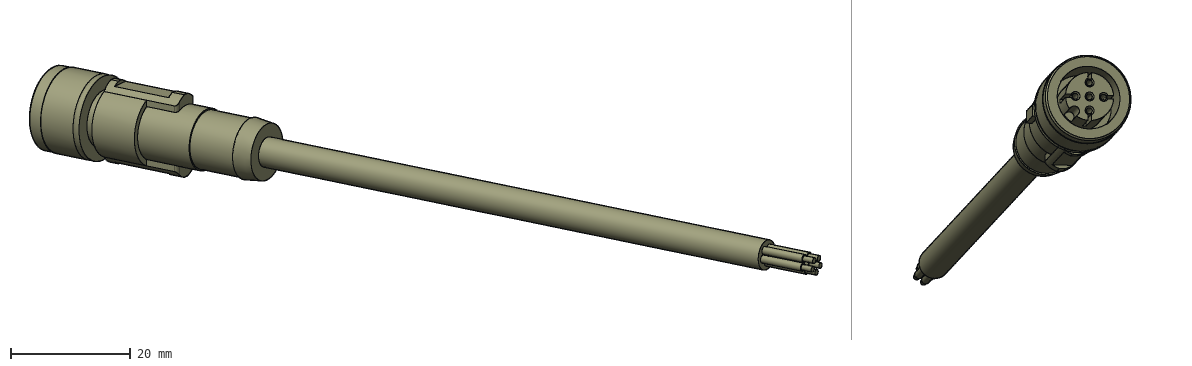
import cadquery as cq
import math


insert_face_x = 0.0
nut_start_x = 1.0
nut_grip_x = 3.5
bore_end_x = 9.0
nut_groove_x = 10.0
nut_end_x = 11.2
body_start_x = 13.1
body_end_x = 21.6
pad_end_x = 27.8
sleeve_end_x = 31.9
collar_start_x = 40.6
collar_end_x = 44.0
jacket_end_x = 144.0
insulation_end_x = 152.0
conductor_end_x = 154.0

insert_radius = 4.1
nut_radius = 7.395
nut_front_radius = 7.3
nut_bore_radius = 5.35
nut_groove_depth = 0.2
neck_start_radius = 4.95
neck_end_radius = 4.5
body_radius = 6.35
sleeve_radius = 5.35
strain_relief_radius = 5.1
collar_end_radius = 4.95
jacket_radius = 2.6
nut_front_chamfer = 0.3

pad_width = 5.2
pad_base_height = 3.0
pad_edge_height = 5.8
pad_top_height = 7.3
pad_top_width = 1.0
pad_end_radius = 0.6
recess_width = 3.4
recess_start_x = 14.6
recess_end_x = 25.4
recess_floor_height = 6.7

mark_width = 2.0
mark_height = 7.3
mark_end_x = 19.6
mark_slope_length = 0.6

contact_count = 4
contact_circle_radius = 2.4
contact_mouth_radius = 0.75
contact_hole_radius = 0.5
contact_hole_depth = 5.0
contact_slot_inner_radius = 3.0
contact_slot_width = 0.6
key_slot_width = 1.7
key_slot_inner_radius = 2.8
key_slot_angle = -135.0

first_wire_angle = -90.0
wire_count = 5
wire_circle_radius = 1.25
wire_radius = 0.7
conductor_radius = 0.5
wire_root_depth = 5.0


def rod(radius, start_x, end_x, y=0.0, z=0.0):
    """Cylinder along X between two stations."""
    return cq.Workplane("YZ", origin=(start_x, y, z)).circle(radius).extrude(end_x - start_x)


def tapered_rod(start_radius, end_radius, start_x, end_x):
    """Truncated cone about the X axis between two stations."""
    return (
        cq.Workplane("YZ", origin=(start_x, 0, 0))
        .circle(start_radius)
        .workplane(offset=end_x - start_x)
        .circle(end_radius)
        .loft()
    )


def block(start_x, end_x, width, low_z, high_z):
    """Box centred on Y = 0 between two stations and two heights."""
    size_x = end_x - start_x
    plane = cq.Workplane("XY", origin=(start_x + size_x / 2, 0, low_z))
    return plane.rect(size_x, width).extrude(high_z - low_z)


def around_axis(shape, angle):
    """Shape turned about the X axis."""
    return shape.rotate((0, 0, 0), (1, 0, 0), angle)


def make_nut():
    nut = rod(nut_front_radius, nut_start_x, nut_grip_x).faces("<X").chamfer(nut_front_chamfer)
    nut = nut.union(rod(nut_radius, nut_grip_x, nut_end_x))
    groove = (
        cq.Workplane("XY")
        .moveTo(nut_groove_x, nut_radius)
        .threePointArc(
            ((nut_groove_x + nut_end_x) / 2, nut_radius - nut_groove_depth),
            (nut_end_x, nut_radius),
        )
        .close()
        .revolve(360, (0, 0, 0), (1, 0, 0))
    )
    bore = rod(nut_bore_radius, nut_start_x, bore_end_x)
    return nut.cut(groove).cut(bore)


def make_contact_hole(radial_position):
    """Round hole in the insert face with a conical mouth."""
    hole = rod(contact_hole_radius, insert_face_x, insert_face_x + contact_hole_depth, z=radial_position)
    mouth_depth = contact_mouth_radius - contact_hole_radius
    mouth = tapered_rod(contact_mouth_radius, contact_hole_radius, insert_face_x, insert_face_x + mouth_depth)
    return hole.union(mouth.translate((0, 0, radial_position)))


def make_insert():
    insert = rod(insert_radius, insert_face_x, nut_end_x)
    depth_x = insert_face_x + contact_hole_depth
    insert = insert.cut(make_contact_hole(0))
    slot = block(insert_face_x, depth_x, contact_slot_width, contact_slot_inner_radius, insert_radius)
    opening = make_contact_hole(contact_circle_radius).union(slot)
    for index in range(contact_count):
        insert = insert.cut(around_axis(opening, index * 360 / contact_count))
    key_round_z = key_slot_inner_radius + key_slot_width / 2
    key_slot = rod(key_slot_width / 2, insert_face_x, depth_x, z=key_round_z)
    key_slot = key_slot.union(block(insert_face_x, depth_x, key_slot_width, key_round_z, insert_radius))
    return insert.cut(around_axis(key_slot, key_slot_angle))


def make_pad():
    """Grip pad on the +Z side: domed across its width, flat along its crest, with a recess."""
    recess_half = recess_width / 2
    side_y = pad_width / 2
    crest_y = pad_top_width / 2
    pad = (
        cq.Workplane("YZ", origin=(body_start_x, 0, 0))
        .moveTo(-side_y, pad_base_height)
        .lineTo(side_y, pad_base_height)
        .lineTo(side_y, pad_edge_height)
        .threePointArc((recess_half, recess_floor_height), (crest_y, pad_top_height))
        .lineTo(-crest_y, pad_top_height)
        .threePointArc((-recess_half, recess_floor_height), (-side_y, pad_edge_height))
        .close()
        .extrude(pad_end_x - body_start_x)
    )
    pad = pad.edges("|Z and >X").fillet(pad_end_radius)
    return pad.cut(block(recess_start_x, recess_end_x, recess_width, recess_floor_height, pad_top_height))


def make_mark():
    """Raised strip on the +Y side with a sloped end."""
    return (
        cq.Workplane("XY", origin=(0, 0, -mark_width / 2))
        .moveTo(body_start_x, 0)
        .lineTo(body_start_x, mark_height)
        .lineTo(mark_end_x - mark_slope_length, mark_height)
        .lineTo(mark_end_x, body_radius)
        .lineTo(mark_end_x, 0)
        .close()
        .extrude(mark_width)
    )


def make_wires():
    wires = cq.Workplane("XY")
    for index in range(wire_count):
        angle = math.radians(first_wire_angle + index * 360 / wire_count)
        y = wire_circle_radius * math.cos(angle)
        z = wire_circle_radius * math.sin(angle)
        wires = wires.union(rod(wire_radius, jacket_end_x - wire_root_depth, insulation_end_x, y, z))
        wires = wires.union(rod(conductor_radius, insulation_end_x - wire_root_depth, conductor_end_x, y, z))
    return wires


result = make_nut().union(make_insert())
result = result.union(tapered_rod(neck_start_radius, neck_end_radius, nut_end_x, body_start_x))
result = result.union(rod(body_radius, body_start_x, body_end_x))
result = result.union(rod(sleeve_radius, body_end_x, sleeve_end_x))
result = result.union(rod(strain_relief_radius, sleeve_end_x, collar_start_x))
result = result.union(tapered_rod(sleeve_radius, collar_end_radius, collar_start_x, collar_end_x))
result = result.union(rod(jacket_radius, collar_end_x, jacket_end_x))
result = result.union(make_pad()).union(around_axis(make_pad(), 180))
result = result.union(make_mark())
result = result.union(make_wires())